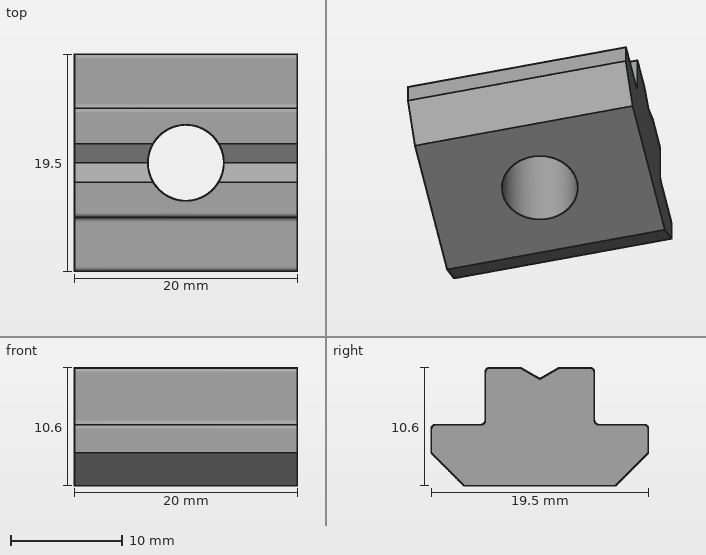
import cadquery as cq
import math

length = 20.0
base_width = 19.5
height = 10.6

base_height = 5.5
neck_width = 9.8
bottom_chamfer = 2.95
edge_radius = 0.4

groove_width = 3.45
groove_slope = 30.0
hole_diameter = 6.8

groove_depth = groove_width / 2 * math.tan(math.radians(groove_slope))


def make_body():
    """T-shaped bar along X with chamfered lower edges and rounded steps."""
    base = (
        cq.Workplane("XY")
        .box(length, base_width, base_height, centered=(True, True, False))
        .edges("|X and <Z")
        .chamfer(bottom_chamfer)
    )
    neck = cq.Workplane("XY").box(length, neck_width, height, centered=(True, True, False))
    rounded_edges = cq.selectors.BoxSelector(
        (-length, -base_width, base_height - edge_radius),
        (length, base_width, height + edge_radius),
    )
    return base.union(neck).edges("|X").edges(rounded_edges).fillet(edge_radius)


def make_groove():
    """Triangular prism that cuts the V-groove along the top face."""
    return (
        cq.Workplane("YZ")
        .moveTo(-groove_width / 2, height)
        .lineTo(0, height - groove_depth)
        .lineTo(groove_width / 2, height)
        .close()
        .extrude(length / 2, both=True)
    )


def make_hole():
    """Cylinder that cuts the central hole through the full height."""
    return cq.Workplane("XY").circle(hole_diameter / 2).extrude(height)


result = make_body().cut(make_groove()).cut(make_hole())